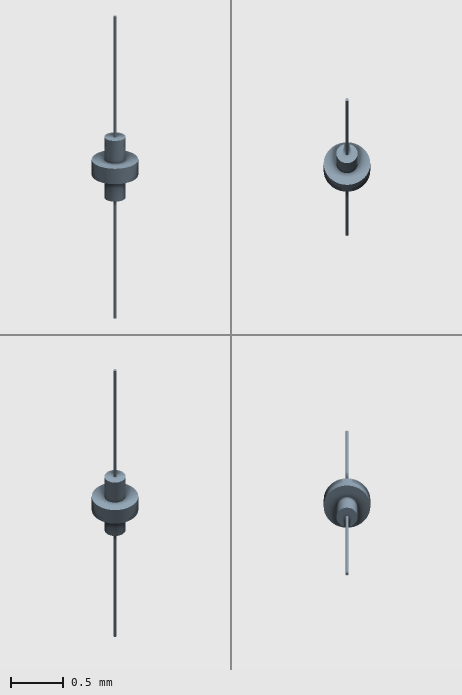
import cadquery as cq

pin_length = 3.13
pin_diameter = 0.03
body_length = 0.63
body_diameter = 0.2
flange_thickness = 0.16
flange_diameter = 0.44


def centred_cylinder(diameter, length):
    """Cylinder along Z with its middle at the origin."""
    return cq.Workplane("XY").cylinder(length, diameter / 2)


pin = centred_cylinder(pin_diameter, pin_length)

body = centred_cylinder(body_diameter, body_length)

flange = centred_cylinder(flange_diameter, flange_thickness)

result = flange.union(body).union(pin)